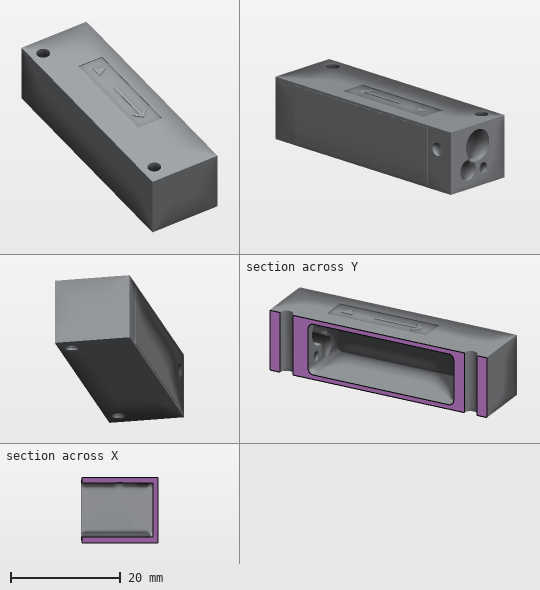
import cadquery as cq
import math

LENGTH = 45.0
HEIGHT = 12.0
HOUSING_DEPTH = 14.0
COVER_THICKNESS = 0.1

COVER_LENGTH = 34.0
COVER_START = 6.0
COVER_MARGIN = 0.5
COVER_OVERLAP = 0.5
COVER_END_OVERLAP = 2.0
COVER_HEIGHT = HEIGHT - 2 * COVER_MARGIN
CAVITY_CORNER = 1.0
FRONT_WALL = 1.0
COVER_CENTER_X = COVER_START + COVER_LENGTH / 2

LARGE_BORE = (7.0, 7.95)
LARGE_BORE_RADIUS = 3.0
SMALL_BORE = (9.55, 3.7)
SMALL_BORE_RADIUS = 2.0
BORE_BLEND = 0.35
PILOT_BORE = (5.55, 3.3)
PILOT_RADIUS = 1.0
ENTRY_DEPTH = COVER_START + COVER_END_OVERLAP + CAVITY_CORNER

HOLE_DIAMETER = 2.5
HOLE_INSET_X = 3.4
HOLE_INSET_Y = 2.5

PANEL_START = (9.95, 6.05)
PANEL_SIZE = (20.6, 5.05)
PANEL_DEPTH = 0.2
TRIANGLE_START = (11.9, 7.9)
TRIANGLE_BASE = 2.35
TRIANGLE_HEIGHT = TRIANGLE_BASE * math.sin(math.radians(60))
ARROW_TAIL_X = 18.5
ARROW_TIP_X = 28.5
ARROW_Y = 8.45
ARROW_STROKE = 0.5
ARROW_BARB = 1.55


def make_cavity():
    """Pocket with rounded corners, open to the rear face."""
    depth = HOUSING_DEPTH - FRONT_WALL
    return (
        cq.Workplane("XY")
        .box(COVER_LENGTH - 2 * COVER_END_OVERLAP, depth, COVER_HEIGHT - 2 * COVER_OVERLAP)
        .edges("|Y").fillet(CAVITY_CORNER)
        .translate((COVER_CENTER_X, FRONT_WALL + depth / 2, HEIGHT / 2))
    )


def make_end_bore(center, radius):
    """Bore from the -X end into the cavity."""
    return cq.Workplane("YZ").center(*center).circle(radius).extrude(ENTRY_DEPTH)


def make_cable_entry():
    """Two overlapping bores whose meeting ridges are rounded."""
    bores = make_end_bore(LARGE_BORE, LARGE_BORE_RADIUS).union(
        make_end_bore(SMALL_BORE, SMALL_BORE_RADIUS)
    )
    ridges = cq.selectors.BoxSelector(
        (0, SMALL_BORE[0] - SMALL_BORE_RADIUS, SMALL_BORE[1]),
        (ENTRY_DEPTH, SMALL_BORE[0] + SMALL_BORE_RADIUS, LARGE_BORE[1]),
    )
    return bores.edges("|X").edges(ridges).fillet(BORE_BLEND)


def make_mounting_holes():
    positions = [(x, HOLE_INSET_Y) for x in (HOLE_INSET_X, LENGTH - HOLE_INSET_X)]
    return cq.Workplane("XY").pushPoints(positions).circle(HOLE_DIAMETER / 2).extrude(HEIGHT)


def make_cross_hole():
    """Hole along Y from the large bore to the rear face."""
    return (
        cq.Workplane("XZ", origin=(HOLE_INSET_X, HOUSING_DEPTH, LARGE_BORE[1]))
        .circle(HOLE_DIAMETER / 2)
        .extrude(HOUSING_DEPTH - LARGE_BORE[0])
    )


def make_panel_cut():
    """Panel recess without the volume of the triangle and arrow left standing."""
    floor = cq.Workplane("XY", origin=(0, 0, HEIGHT - PANEL_DEPTH))
    panel = floor.moveTo(*PANEL_START).rect(*PANEL_SIZE, centered=False).extrude(PANEL_DEPTH)

    triangle = (
        floor.moveTo(*TRIANGLE_START)
        .line(TRIANGLE_BASE, 0)
        .line(-TRIANGLE_BASE / 2, TRIANGLE_HEIGHT)
        .close()
        .extrude(PANEL_DEPTH)
    )

    half = ARROW_STROKE / 2
    step = ARROW_STROKE / math.sqrt(2)
    barb_x = ARROW_TIP_X - ARROW_BARB
    notch_x = ARROW_TIP_X - 2 * step - half
    upper = [
        (ARROW_TAIL_X, half),
        (notch_x, half),
        (barb_x - step, ARROW_BARB - step),
        (barb_x, ARROW_BARB),
    ]
    lower = [(x, -y) for x, y in reversed(upper)]
    outline = [(x, ARROW_Y + y) for x, y in upper + [(ARROW_TIP_X, 0)] + lower]
    arrow = floor.polyline(outline).close().extrude(PANEL_DEPTH)
    return panel.cut(triangle).cut(arrow)


def make_housing():
    return (
        cq.Workplane("XY")
        .box(LENGTH, HOUSING_DEPTH, HEIGHT, centered=False)
        .cut(make_cavity())
        .cut(make_cable_entry())
        .cut(make_end_bore(PILOT_BORE, PILOT_RADIUS))
        .cut(make_mounting_holes())
        .cut(make_cross_hole())
        .cut(make_panel_cut())
    )


def make_cover():
    """Thin plate lying on the rear face over the cavity."""
    return (
        cq.Workplane("XY")
        .box(COVER_LENGTH, COVER_THICKNESS, COVER_HEIGHT)
        .translate((COVER_CENTER_X, HOUSING_DEPTH + COVER_THICKNESS / 2, HEIGHT / 2))
    )


housing = make_housing()
cover = make_cover()
result = cq.Compound.makeCompound([housing.val(), cover.val()])